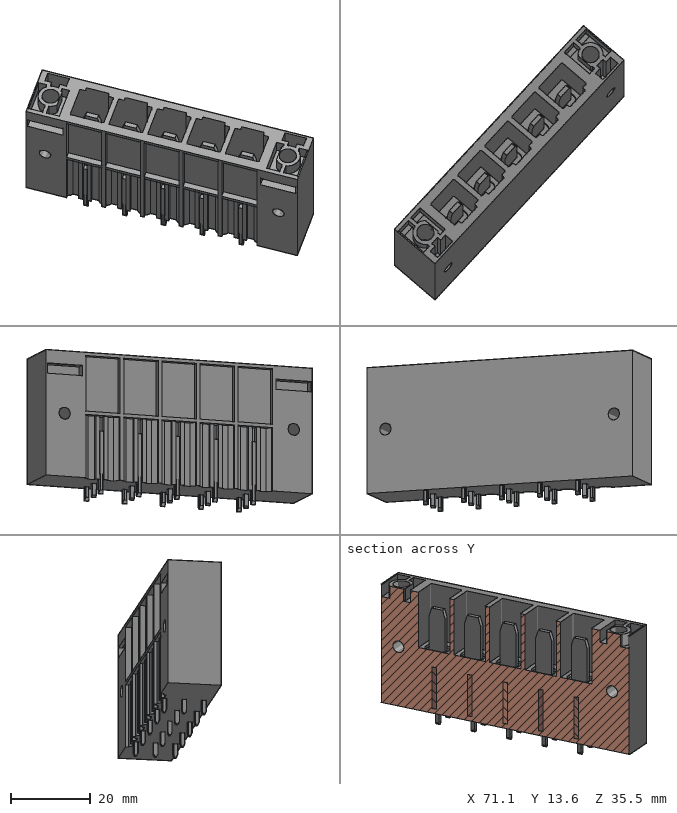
import cadquery as cq

LENGTH = 71.1
WIDTH = 13.6
HEIGHT = 32.0
FRONT = -WIDTH / 2

POLE_COUNT = 5
POLE_PITCH = 10.2
POLE_X = [(i - (POLE_COUNT - 1) / 2) * POLE_PITCH for i in range(POLE_COUNT)]

CAVITY_LENGTH = 8.8
CAVITY_FRONT = -4.4
CAVITY_BACK = 3.85
CAVITY_CORNER_RADIUS = 0.3
CAVITY_FLOOR = 17.1
KEY_LENGTH = 5.9
KEY_BACK = 4.8

RECESS_LENGTH = 6.5
RECESS_WIDTH = 4.1
RECESS_RADIUS = 1.35
RECESS_DEPTH = 0.7

PANEL_LENGTH = 9.2
PANEL_TOP = HEIGHT - 0.85
PANEL_BOTTOM = HEIGHT - 15.0
PANEL_DEPTH = 1.5
CHANNEL_TOP = HEIGHT - 15.85
CHANNEL_DEPTH = 1.6
RIB_LENGTH = 3.3
RIB_SETBACK = 0.7
COLUMN_RADIUS = 2.0
COLUMN_AXIS_DEPTH = 2.6
GROOVE_LENGTH = 1.15
GROOVE_DEPTH = 2.35

PLATE_THICKNESS = 1.1
PLATE_WIDTH = 11.4
PLATE_TOP = 12.45
PLATE_BOTTOM = 1.4
PIN_BOTTOM = -3.5
OUTER_PIN_WIDTH = 1.3
OUTER_PIN_Y = (PLATE_WIDTH - OUTER_PIN_WIDTH) / 2
OUTER_PIN_EDGE_CHAMFER = 0.2
OUTER_PIN_TIP_HEIGHT = 0.85
OUTER_PIN_TIP_INSET = 0.4
MIDDLE_PIN_WIDTH = 1.1
MIDDLE_PIN_TIP_HEIGHT = 0.5
MIDDLE_PIN_TIP_INSET = 0.35
BLADE_LENGTH = 4.55
BLADE_THICKNESS = 1.15
BLADE_TOP = HEIGHT - 4.3
BLADE_TIP_LENGTH = 3.1
BLADE_TIP_HEIGHT = 2.2

SCREW_FROM_END = 4.5
SCREW_Y = -0.4
SCREW_HOLE_RADIUS = 2.1
SCREW_RING_RADIUS = 3.1
WELL_FROM_END = 0.35
WELL_LENGTH = 8.05
WELL_FRONT = -5.7
WELL_BACK = 2.7
WELL_DEPTH = 3.3
RING_BLOCK_LENGTH = 4.05
RING_INNER_REACH = 2.35
STEM_LENGTH = 1.0
NUT_SLOT_LENGTH = 5.6
NUT_SEAT_LENGTH = 5.2
NUT_SEAT_HEIGHT = 0.6
NUT_SLOT_FRONT = 3.8
NUT_SLOT_BACK = 6.2
NECK_LENGTH = 2.1
TUBE_FROM_END = 5.0
TUBE_RADIUS = 2.55
CROSS_HOLE_RADIUS = 1.5
TUBE_AXIS_Z = HEIGHT - 15.9
POCKET_FLOOR_ABOVE_AXIS = 1.0
POCKET_FLOOR = TUBE_AXIS_Z + POCKET_FLOOR_ABOVE_AXIS
NUT_SEAT_TOP = POCKET_FLOOR + NUT_SEAT_HEIGHT

LATCH_FROM_END = 0.4
LATCH_LENGTH = 9.25
LATCH_TOP = HEIGHT - 3.4
LATCH_BOTTOM = HEIGHT - 6.05
LATCH_DEPTH = 2.35


def block(x_range, y_range, z_range):
    """Box given by its lower and upper limits along each axis."""
    (x0, x1), (y0, y1), (z0, z1) = x_range, y_range, z_range
    return cq.Workplane("XY").box(x1 - x0, y1 - y0, z1 - z0, centered=False).translate((x0, y0, z0))


def centered_block(length, y_range, z_range, x=0.0):
    """Box of the given X length, centred on x."""
    return block((x - length / 2, x + length / 2), y_range, z_range)


def post(x, y, radius, z_range):
    """Upright cylinder."""
    bottom, top = z_range
    return cq.Workplane("XY", origin=(x, y, bottom)).circle(radius).extrude(top - bottom)


def cavity_cutter():
    """Plug cavity with its key slot and the recess in its floor."""
    heights = (CAVITY_FLOOR, HEIGHT)
    cavity = centered_block(CAVITY_LENGTH, (CAVITY_FRONT, CAVITY_BACK), heights)
    key = centered_block(KEY_LENGTH, (0, KEY_BACK), heights)
    cavity = cavity.union(key).edges("|Z").fillet(CAVITY_CORNER_RADIUS)
    recess = centered_block(
        RECESS_LENGTH, (-RECESS_WIDTH / 2, RECESS_WIDTH / 2), (CAVITY_FLOOR - RECESS_DEPTH, CAVITY_FLOOR)
    )
    recess = recess.edges("|Z").fillet(RECESS_RADIUS)
    return cavity.union(recess)


def front_cutter():
    """Shallow panel, and below it the channel with a centre rib between two round columns."""
    panel = centered_block(PANEL_LENGTH, (FRONT, FRONT + PANEL_DEPTH), (PANEL_BOTTOM, PANEL_TOP))
    heights = (0, CHANNEL_TOP)
    channel = centered_block(PANEL_LENGTH, (FRONT, FRONT + CHANNEL_DEPTH), heights)
    rib = centered_block(RIB_LENGTH, (FRONT + RIB_SETBACK, FRONT + CHANNEL_DEPTH), heights)
    channel = channel.cut(rib)
    for side in (-1, 1):
        column = post(side * POLE_PITCH / 2, FRONT + COLUMN_AXIS_DEPTH, COLUMN_RADIUS, heights)
        channel = channel.cut(column)
    groove = centered_block(GROOVE_LENGTH, (FRONT, FRONT + GROOVE_DEPTH), heights)
    return panel.union(channel).union(groove)


def flange_cutter():
    """Openings of the flange at the -X end."""
    end = -LENGTH / 2
    screw_x = end + SCREW_FROM_END
    well_start = end + WELL_FROM_END

    well_z = (HEIGHT - WELL_DEPTH, HEIGHT)
    well = block((well_start, well_start + WELL_LENGTH), (WELL_FRONT, WELL_BACK), well_z)
    ring = post(screw_x, SCREW_Y, SCREW_RING_RADIUS, well_z)
    ring = ring.intersect(block((end, screw_x + RING_INNER_REACH), (FRONT, -FRONT), well_z))
    ring_block = centered_block(RING_BLOCK_LENGTH, (SCREW_Y, WELL_BACK), well_z, screw_x)
    stem = centered_block(STEM_LENGTH, (WELL_FRONT, SCREW_Y), well_z, screw_x)
    well = well.cut(ring).cut(ring_block).cut(stem)

    deep_z = (POCKET_FLOOR, HEIGHT)
    pocket = post(screw_x, SCREW_Y, SCREW_HOLE_RADIUS, deep_z)
    nut_slot_y = (NUT_SLOT_FRONT, NUT_SLOT_BACK)
    pocket = pocket.union(centered_block(NUT_SLOT_LENGTH, nut_slot_y, (NUT_SEAT_TOP, HEIGHT), screw_x))
    pocket = pocket.union(centered_block(NUT_SEAT_LENGTH, nut_slot_y, deep_z, screw_x))
    pocket = pocket.union(centered_block(NECK_LENGTH, (WELL_BACK, NUT_SLOT_FRONT), deep_z, screw_x))
    axis = cq.Workplane("XZ", origin=(end + TUBE_FROM_END, -FRONT, TUBE_AXIS_Z))
    pocket = pocket.cut(axis.circle(TUBE_RADIUS).extrude(WIDTH))
    cross_hole = axis.circle(CROSS_HOLE_RADIUS).extrude(WIDTH)

    latch_start = end + LATCH_FROM_END
    latch = block(
        (latch_start, latch_start + LATCH_LENGTH), (FRONT, FRONT + LATCH_DEPTH), (LATCH_BOTTOM, LATCH_TOP)
    )
    return well.union(pocket).union(cross_hole).union(latch)


def pin(width, tip_height, tip_inset):
    """Pin along Z whose front and back faces slope in at the tip."""
    half = width / 2
    tip_half = half - tip_inset
    tip_start = PIN_BOTTOM + tip_height
    outline = [
        (-half, PLATE_BOTTOM),
        (-half, tip_start),
        (-tip_half, PIN_BOTTOM),
        (tip_half, PIN_BOTTOM),
        (half, tip_start),
        (half, PLATE_BOTTOM),
    ]
    return cq.Workplane("YZ").polyline(outline).close().extrude(PLATE_THICKNESS / 2, both=True)


def make_contact(x):
    """Blade above a cross plate that carries three solder pins."""
    plate = centered_block(
        PLATE_THICKNESS, (-PLATE_WIDTH / 2, PLATE_WIDTH / 2), (PLATE_BOTTOM, PLATE_TOP)
    )
    half = BLADE_LENGTH / 2
    tip_half = BLADE_TIP_LENGTH / 2
    blade_outline = [
        (-half, PLATE_BOTTOM),
        (half, PLATE_BOTTOM),
        (half, BLADE_TOP - BLADE_TIP_HEIGHT),
        (tip_half, BLADE_TOP),
        (-tip_half, BLADE_TOP),
        (-half, BLADE_TOP - BLADE_TIP_HEIGHT),
    ]
    blade = cq.Workplane("XZ").polyline(blade_outline).close().extrude(BLADE_THICKNESS / 2, both=True)
    middle_pin = pin(MIDDLE_PIN_WIDTH, MIDDLE_PIN_TIP_HEIGHT, MIDDLE_PIN_TIP_INSET)
    outer_pin = pin(OUTER_PIN_WIDTH, OUTER_PIN_TIP_HEIGHT, OUTER_PIN_TIP_INSET)
    outer_pin = outer_pin.edges("|Z").chamfer(OUTER_PIN_EDGE_CHAMFER)
    contact = plate.union(blade).union(middle_pin)
    for y in (-OUTER_PIN_Y, OUTER_PIN_Y):
        contact = contact.union(outer_pin.translate((0, y, 0)))
    return contact.translate((x, 0, 0))


def make_housing(contacts):
    """Housing block with every opening cut and a matching seat for each contact."""
    housing = centered_block(LENGTH, (FRONT, -FRONT), (0, HEIGHT))
    pole_cutter = cavity_cutter().union(front_cutter())
    for x in POLE_X:
        housing = housing.cut(pole_cutter.translate((x, 0, 0)))
    flange = flange_cutter()
    housing = housing.cut(flange).cut(flange.mirror("YZ"))
    for contact in contacts:
        housing = housing.cut(contact)
    return housing


contacts = [make_contact(x) for x in POLE_X]
housing = make_housing(contacts)

result = cq.Compound.makeCompound([housing.val(), *[contact.val() for contact in contacts]])